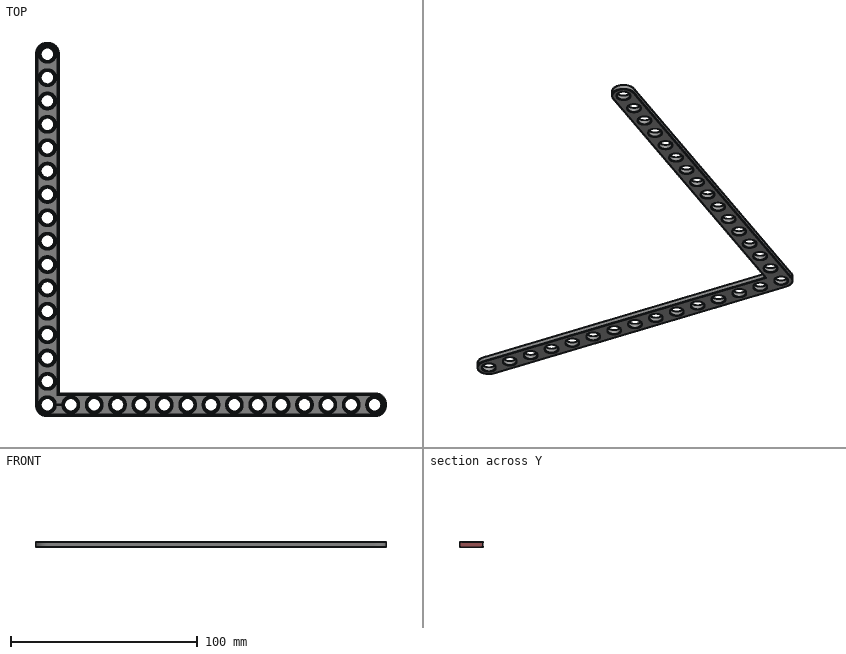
import cadquery as cq

pitch = 12.5
holes_along_x = 15
holes_along_y = 16
thickness = pitch / 4
hole_diameter = 7.0
edge_bevel = 0.3
land_width = 0.8
recess_depth = 0.2
corner_rib_width = 0.4

x_hole_span = (holes_along_x - 1) * pitch
y_hole_span = (holes_along_y - 1) * pitch
hole_radius = hole_diameter / 2
wall_width = edge_bevel + land_width
ring_diameter = hole_diameter + 2 * wall_width
recess_floor = thickness - recess_depth

x_row = [(i * pitch, 0) for i in range(holes_along_x)]
y_row = [(0, i * pitch) for i in range(1, holes_along_y)]
hole_centres = x_row + y_row


def l_shape(width, base_z, height):
    """L-shaped plate made of two round-ended arms that share the corner hole centre."""
    plane = cq.Workplane("XY", origin=(0, 0, base_z))
    x_arm = plane.center(x_hole_span / 2, 0).slot2D(x_hole_span + width, width).extrude(height)
    y_arm = plane.center(0, y_hole_span / 2).slot2D(y_hole_span + width, width, 90).extrude(height)
    return x_arm.union(y_arm).clean()


def bevelled_plate():
    """Full-width plate with its top and bottom outlines bevelled."""
    return l_shape(pitch, 0, thickness).faces("|Z").edges().chamfer(edge_bevel)


def top_recess():
    """Volume cut from the top face, leaving a rim, a ring around each hole and the corner rib."""
    rings = (
        cq.Workplane("XY", origin=(0, 0, recess_floor))
        .pushPoints(hole_centres)
        .circle(ring_diameter / 2)
        .extrude(recess_depth)
    )
    corner_rib = (
        cq.Workplane("XY", origin=(pitch / 2, 0, recess_floor))
        .rect(pitch, corner_rib_width)
        .extrude(recess_depth)
    )
    return l_shape(pitch - 2 * wall_width, recess_floor, recess_depth).cut(rings).cut(corner_rib)


def hole_cutters():
    """Through-hole cutters that widen by the edge bevel at both faces."""
    wide_radius = hole_radius + edge_bevel
    profile = [
        (0, 0),
        (wide_radius, 0),
        (hole_radius, edge_bevel),
        (hole_radius, thickness - edge_bevel),
        (wide_radius, thickness),
        (0, thickness),
    ]
    cutter = cq.Workplane("XZ").polyline(profile).close().revolve(360, (0, 0), (0, 1)).val()
    return cq.Workplane("XY").pushPoints(hole_centres).eachpoint(lambda place: cutter.moved(place))


result = bevelled_plate().cut(top_recess()).cut(hole_cutters())